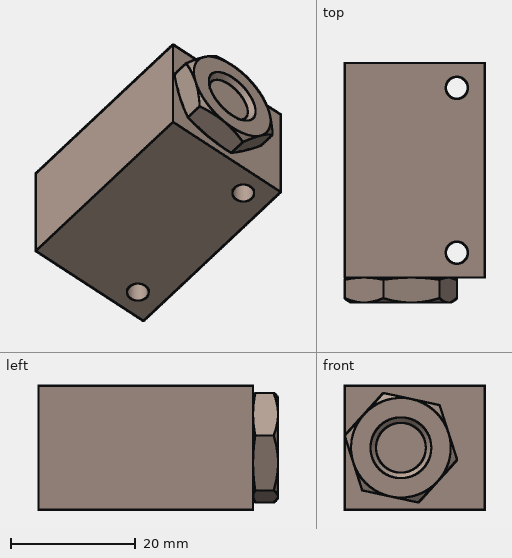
import cadquery as cq
import math

block_width = 22.52
block_length = 34.5
block_height = 20.0

nut_height = 4.0
nut_flats = 16.0
nut_tilt = -12.2
nut_corner_radius = nut_flats / 2 / math.cos(math.radians(30))
nut_center_x = nut_corner_radius * math.cos(math.radians(nut_tilt))
front_bevel_angle = 30
back_bevel_depth = 0.35

recess_mouth_radius = 4.9
recess_floor_radius = 4.0
recess_depth = 0.9

hole_diameter = 3.5
hole_x = 18.0
hole_end_distance = 4.0


def make_block():
    block = cq.Workplane("XY").box(
        block_width, block_length, block_height, centered=(False, False, True)
    )
    hole_places = [
        (hole_x, hole_end_distance),
        (hole_x, block_length - hole_end_distance),
    ]
    cutter = (
        cq.Workplane("XY")
        .pushPoints(hole_places)
        .circle(hole_diameter / 2)
        .extrude(block_height, both=True)
    )
    return block.cut(cutter)


def make_nut():
    """Nut along +Z from its seat at z = 0, with both ends bevelled at the corners."""
    hexagon = (
        cq.Workplane("XY")
        .polygon(6, 2 * nut_corner_radius)
        .extrude(nut_height)
        .rotate((0, 0, 0), (0, 0, 1), nut_tilt)
    )
    flat_radius = nut_flats / 2
    front_bevel_depth = (nut_corner_radius - flat_radius) * math.tan(math.radians(front_bevel_angle))
    envelope = (
        cq.Workplane("XZ")
        .moveTo(0, 0)
        .lineTo(flat_radius, 0)
        .lineTo(nut_corner_radius, back_bevel_depth)
        .lineTo(nut_corner_radius, nut_height - front_bevel_depth)
        .lineTo(flat_radius, nut_height)
        .lineTo(0, nut_height)
        .close()
        .revolve(360, (0, 0, 0), (0, 1, 0))
    )
    recess = (
        cq.Workplane("XY", origin=(0, 0, nut_height - recess_depth))
        .circle(recess_floor_radius)
        .workplane(offset=recess_depth)
        .circle(recess_mouth_radius)
        .loft()
    )
    return hexagon.intersect(envelope).cut(recess)


nut = make_nut().rotate((0, 0, 0), (1, 0, 0), 90).translate((nut_center_x, 0, 0))

result = make_block().union(nut)